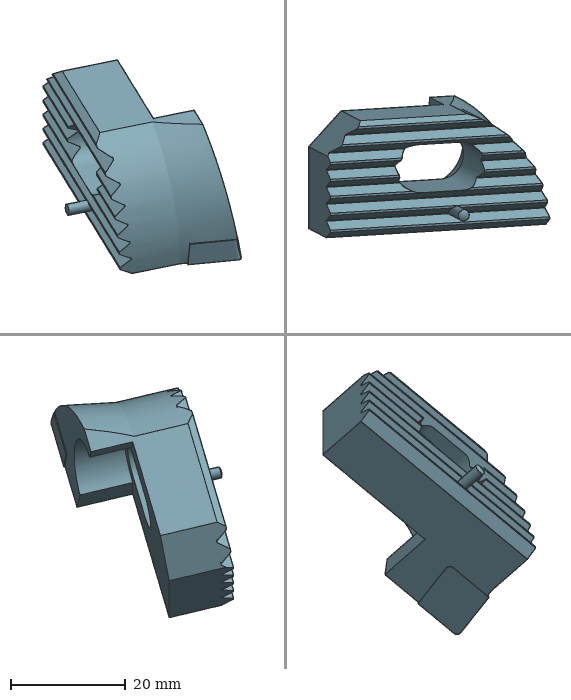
import cadquery as cq
import math


height = 20.5
end_chamfer = 6.0

tooth_pitch = 3.0
tooth_count = 7
crest_width = 0.4
root_width = 0.16
flank_angle = 30.0
flank_width = (tooth_pitch - crest_width - root_width) / 2
tooth_depth = flank_width / math.tan(math.radians(flank_angle))
block_back = tooth_depth + 9.5

arm_left = 24.85
arm_back = 21.65
rear_slope = 7.0

nose_center_x = 18.8
nose_radius = 21.67
cone_start = 11.04
cone_angle = 10.0
margin = 1.0
nose_end = arm_back + margin
nose_end_radius = nose_radius + (nose_end - cone_start) * math.tan(math.radians(cone_angle))
nose_limit = nose_center_x + nose_end_radius + margin

slot_length = 15.9
slot_height = 8.3
slot_center_x = 20.56
slot_center_z = 11.5
head_radius = 7.0
head_center_x = slot_center_x + (slot_length - slot_height) / 2

pin_diameter = 2.0
pin_x = 23.3
pin_z = 3.6
pin_tip = -4.0
pin_length = 10.0
pin_dome_radius = pin_diameter

insert_width = 9.525
insert_thickness = 3.97
insert_clearance = 7.0
insert_tip_angle = 80.0
insert_corner_radius = 0.8
insert_drop = 0.1
insert_corner_x = 42.75
insert_corner_y = 21.85


def make_block():
    """Chamfered block with the arm behind it, before the nose is shaped."""
    outline = [
        (0, 0),
        (nose_limit, 0),
        (nose_limit, height),
        (end_chamfer, height),
        (0, height - end_chamfer),
    ]
    block = cq.Workplane("XZ").polyline(outline).close().extrude(-block_back)

    rear_shift = height * math.tan(math.radians(rear_slope))
    arm_section = [
        (0, 0),
        (arm_back, 0),
        (arm_back - rear_shift, height),
        (0, height),
    ]
    arm = (
        cq.Workplane("YZ", origin=(arm_left, 0, 0))
        .polyline(arm_section).close()
        .extrude(nose_limit - arm_left)
    )
    return block.union(arm)


def make_nose_waste():
    """Material outside the cylindrical and conical nose, right of its axis."""
    nose = (
        cq.Workplane("XY", origin=(nose_center_x, 0, 0))
        .moveTo(0, 0)
        .lineTo(nose_radius, 0)
        .lineTo(nose_radius, cone_start)
        .lineTo(nose_end_radius, nose_end)
        .lineTo(0, nose_end)
        .close()
        .revolve(360, (0, 0, 0), (0, 1, 0))
    )
    corner = (
        cq.Workplane("XY", origin=(nose_center_x, 0, 0))
        .box(nose_limit - nose_center_x, nose_end, height, centered=False)
    )
    return corner.cut(nose)


def make_tooth_gaps():
    """V grooves with a narrow flat root, centred on every multiple of the pitch."""
    half_root = root_width / 2
    half_mouth = half_root + flank_width
    gaps = []
    for index in range(tooth_count + 1):
        center_z = index * tooth_pitch
        gap = (
            cq.Workplane("YZ")
            .polyline([
                (0, center_z - half_mouth),
                (tooth_depth, center_z - half_root),
                (tooth_depth, center_z + half_root),
                (0, center_z + half_mouth),
            ])
            .close()
            .extrude(nose_limit)
        )
        gaps.append(gap.val())
    return cq.Workplane(cq.Compound.makeCompound(gaps))


def make_slot():
    """Clamping slot through the block."""
    return (
        cq.Workplane("XZ")
        .center(slot_center_x, slot_center_z)
        .slot2D(slot_length, slot_height)
        .extrude(-block_back)
    )


def make_head_clearance():
    """Round clearance for the screw head, cut into the arm behind the block."""
    return (
        cq.Workplane("XZ", origin=(0, block_back, 0))
        .center(head_center_x, slot_center_z)
        .circle(head_radius)
        .extrude(block_back - nose_end)
    )


def make_pin():
    """Round pin along Y with a domed outer end and a flat inner end."""
    radius = pin_diameter / 2
    dome_height = pin_dome_radius - math.sqrt(pin_dome_radius**2 - radius**2)
    half_dome_angle = math.asin(radius / pin_dome_radius) / 2
    dome_mid = (
        pin_dome_radius * math.sin(half_dome_angle),
        pin_tip + pin_dome_radius * (1 - math.cos(half_dome_angle)),
    )
    return (
        cq.Workplane("XY", origin=(pin_x, 0, pin_z))
        .moveTo(0, pin_tip)
        .threePointArc(dome_mid, (radius, pin_tip + dome_height))
        .lineTo(radius, pin_tip + pin_length)
        .lineTo(0, pin_tip + pin_length)
        .close()
        .revolve(360, (0, 0, 0), (0, 1, 0))
    )


def make_insert():
    """Rhombic insert with rounded cutting corners, its lower face just below the body."""
    side = insert_width / math.sin(math.radians(insert_tip_angle))
    lean = insert_width / math.tan(math.radians(insert_tip_angle))
    rhombus = [
        (0, 0),
        (-side, 0),
        (-side - lean, -insert_width),
        (-lean, -insert_width),
    ]
    blank = (
        cq.Workplane("XY", origin=(insert_corner_x, insert_corner_y, -insert_drop))
        .polyline(rhombus).close()
        .extrude(insert_thickness, taper=insert_clearance)
    )
    return blank.edges("not(#Z)").edges(">(1,1,0) or <(1,1,0)").fillet(insert_corner_radius)


def make_body(pin, insert):
    """Cartridge body with a blind pin hole and an insert pocket."""
    return (
        make_block()
        .cut(make_nose_waste())
        .cut(make_tooth_gaps())
        .cut(make_slot())
        .cut(make_head_clearance())
        .cut(pin)
        .cut(insert)
    )


pin = make_pin()
insert = make_insert()
body = make_body(pin, insert)

result = cq.Compound.makeCompound([body.val(), pin.val(), insert.val()])